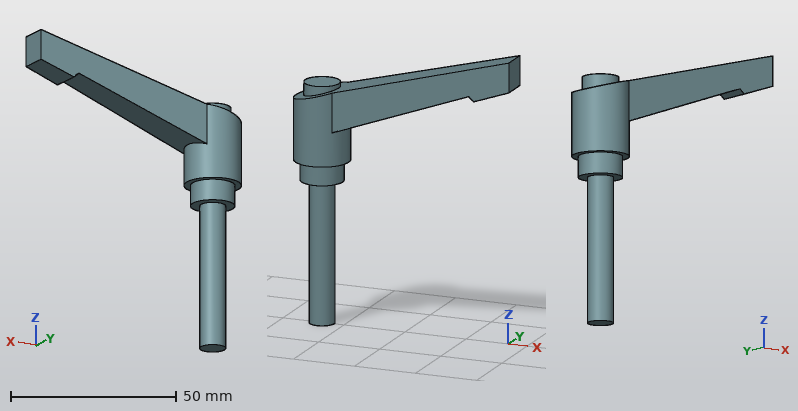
import cadquery as cq
import math

total_height = 90.0
arm_reach = 63.0
top_angle = 15.0

stud_radius = 4.0
collar_radius = 6.75
hub_radius = 8.7
button_radius = 5.6

collar_bottom = 45.0
hub_bottom = 51.5
button_top = 76.0

root_x = 5.85
root_bottom = 62.1
step_start_x = 49.95
step_start_z = 78.0
step_end_x = 51.7
step_end_z = 76.6
tip_bottom = 80.55
root_width = 13.05
tip_width = 9.0


def top_height(x):
    """Height of the sloping top plane shared by the hub and the arm."""
    return total_height - (arm_reach - x) * math.tan(math.radians(top_angle))


def cylinder(radius, bottom, top):
    return cq.Workplane("XY").workplane(offset=bottom).circle(radius).extrude(top - bottom)


def side_profile(points):
    """Outline in the XZ plane, extruded symmetrically past the hub width."""
    return cq.Workplane("XZ").polyline(points).close().extrude(2 * hub_radius, both=True)


def make_hub():
    below_top_plane = side_profile([
        (-hub_radius, hub_bottom),
        (hub_radius, hub_bottom),
        (hub_radius, top_height(hub_radius)),
        (-hub_radius, top_height(-hub_radius)),
    ])
    return cylinder(hub_radius, hub_bottom, total_height).intersect(below_top_plane)


def make_arm():
    side = side_profile([
        (root_x, root_bottom),
        (step_start_x, step_start_z),
        (step_end_x, step_end_z),
        (arm_reach, tip_bottom),
        (arm_reach, total_height),
        (root_x, top_height(root_x)),
    ])
    plan = (
        cq.Workplane("XY")
        .polyline([
            (root_x, -root_width / 2),
            (arm_reach, -tip_width / 2),
            (arm_reach, tip_width / 2),
            (root_x, root_width / 2),
        ])
        .close()
        .extrude(total_height)
    )
    return side.intersect(plan)


stud = cylinder(stud_radius, 0, collar_bottom)
collar = cylinder(collar_radius, collar_bottom, hub_bottom)
button = cylinder(button_radius, hub_bottom, button_top)

result = stud.union(collar).union(make_hub()).union(button).union(make_arm())